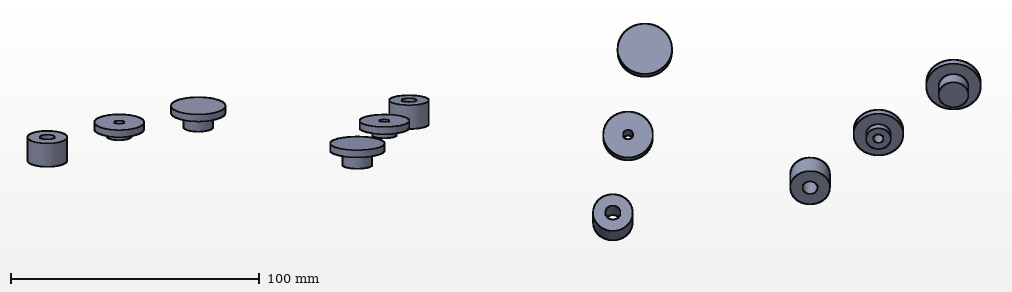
import cadquery as cq

row_length = 91.5
top_z = 0.0
flange_thickness = 3.0

cap_diameter = 22.0
cap_stem_diameter = 12.0
cap_stem_length = 6.0

bushing_diameter = 20.0
bushing_stem_diameter = 10.0
bushing_stem_length = 3.0
bushing_bore = 4.0

spacer_diameter = 16.0
spacer_height = 10.0
spacer_bore = 6.0

cap_y = (row_length - cap_diameter) / 2
bushing_y = -3.2
spacer_y = -(row_length - spacer_diameter) / 2


def hanging_disc(y, diameter, height):
    """Disc centred at y that hangs down from the common top plane."""
    return cq.Workplane("XY", origin=(0, y, top_z)).circle(diameter / 2).extrude(-height)


def flanged_stem(y, flange_diameter, stem_diameter, stem_length):
    """Flange under the top plane with a narrower stem below it."""
    flange = hanging_disc(y, flange_diameter, flange_thickness)
    stem = hanging_disc(y, stem_diameter, flange_thickness + stem_length)
    return flange.union(stem)


def make_cap():
    return flanged_stem(cap_y, cap_diameter, cap_stem_diameter, cap_stem_length)


def make_bushing():
    body = flanged_stem(bushing_y, bushing_diameter, bushing_stem_diameter, bushing_stem_length)
    bore = hanging_disc(bushing_y, bushing_bore, flange_thickness + bushing_stem_length)
    return body.cut(bore)


def make_spacer():
    body = hanging_disc(spacer_y, spacer_diameter, spacer_height)
    bore = hanging_disc(spacer_y, spacer_bore, spacer_height)
    return body.cut(bore)


cap = make_cap()
bushing = make_bushing()
spacer = make_spacer()

result = cq.Compound.makeCompound([cap.val(), bushing.val(), spacer.val()])